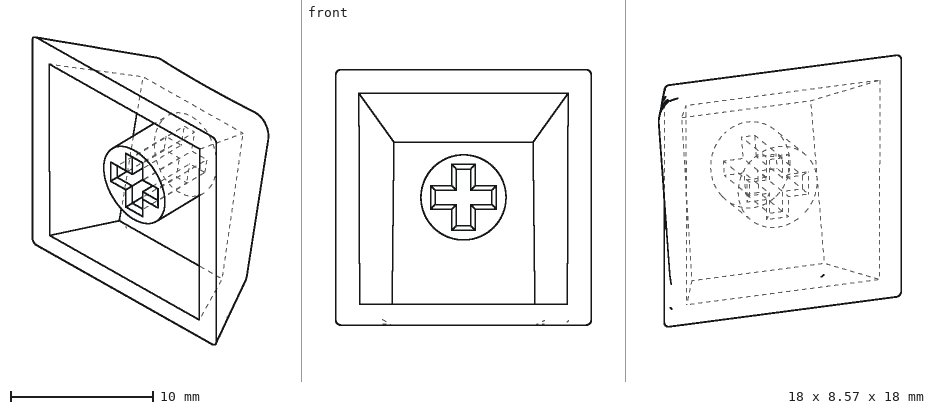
import cadquery as cq
import math

base_size = 18.0
base_corner_radius = 0.4
half_base = base_size / 2

top_height = 7.8
top_slope = 0.206
back_wall_slope = 0.5
top_width = 12.06
top_corner_radius = 1.62
dish_depth = 0.49
top_edge_radius = 0.25

opening_top_z = 7.33
cavity_bottom_z = -7.5
opening_top_width = 14.72
opening_bottom_width = 14.62
floor_top_z = 3.89
floor_top_width = 9.8
floor_bottom_width = 10.05
floor_top_depth = 6.93
floor_bottom_depth = 4.68

stem_diameter = 6.0
stem_face_y = 1.0
cross_length = 4.0
cross_width = 1.0
cross_chamfer = 0.32

top_low_z = -half_base
top_high_z = (half_base - back_wall_slope * top_height) / (1 + back_wall_slope * top_slope)
top_length = (top_high_z - top_low_z) * math.hypot(1, top_slope)
top_mid_z = (top_high_z + top_low_z) / 2
top_mid_y = top_height + top_slope * top_mid_z

top_plane = cq.Plane(
    origin=(0, top_mid_y, top_mid_z),
    xDir=(1, 0, 0),
    normal=(0, -1, top_slope),
)


def rounded_wire(plane, width, length, radius):
    """Closed rounded rectangle centred on a plane."""
    outline = cq.Sketch().rect(width, length).vertices().fillet(radius).reset()
    return outline.faces().vals()[0].outerWire().moved(plane.location)


def quad_wire(low_y, low_z, low_width, high_y, high_z, high_width):
    """Symmetric four-sided outline between a low and a high edge along X."""
    return cq.Wire.makePolygon(
        [
            cq.Vector(-low_width / 2, low_y, low_z),
            cq.Vector(low_width / 2, low_y, low_z),
            cq.Vector(high_width / 2, high_y, high_z),
            cq.Vector(-high_width / 2, high_y, high_z),
        ],
        close=True,
    )


def make_shell():
    """Tapered body with its top scooped by a cylinder running up the face."""
    base = rounded_wire(cq.Plane.named("XZ"), base_size, base_size, base_corner_radius)
    top = rounded_wire(top_plane, top_width, top_length, top_corner_radius)
    body = cq.Workplane(cq.Solid.makeLoft([base, top], True))
    half_width = top_width / 2
    dish_radius = (half_width**2 + dish_depth**2) / (2 * dish_depth)
    axis_offset = dish_radius - dish_depth
    dish_plane = cq.Plane(
        origin=top_plane.toWorldCoords((0, 0, -axis_offset)),
        xDir=(1, 0, 0),
        normal=top_plane.yDir,
    )
    dish = cq.Workplane(dish_plane).circle(dish_radius).extrude(base_size, both=True)
    return body.cut(dish)


def soften_top(body):
    """Round the rim of the dished face."""
    dish_centre = (0, top_mid_y - dish_depth, top_mid_z)
    dished_face = body.faces(cq.selectors.NearestToPointSelector(dish_centre))
    return dished_face.edges().fillet(top_edge_radius)


def make_cavity():
    """Tapered hollow from the rim opening to the sloping floor."""
    opening = quad_wire(
        0, cavity_bottom_z, opening_bottom_width, 0, opening_top_z, opening_top_width
    )
    floor = quad_wire(
        floor_bottom_depth, cavity_bottom_z, floor_bottom_width,
        floor_top_depth, floor_top_z, floor_top_width,
    )
    return cq.Workplane(cq.Solid.makeLoft([opening, floor], True))


def cross(length, width, y):
    """Plus-shaped outline facing -Y at the given height."""
    tip = length / 2
    side = width / 2
    points = [
        (tip, -side), (tip, side), (side, side), (side, tip),
        (-side, tip), (-side, side), (-tip, side), (-tip, -side),
        (-side, -side), (-side, -tip), (side, -tip), (side, -side),
    ]
    return cq.Workplane("XZ", origin=(0, y, 0)).polyline(points).close()


def make_stem():
    """Stem running from its face to beyond the cavity floor, socket cut through."""
    length = floor_top_depth - stem_face_y
    face = cq.Workplane("XZ", origin=(0, stem_face_y, 0))
    stem = face.circle(stem_diameter / 2).extrude(-length)
    socket = cross(cross_length, cross_width, stem_face_y).extrude(-length)
    mouth_wire = cross(
        cross_length + 2 * cross_chamfer, cross_width + 2 * cross_chamfer, stem_face_y
    ).val()
    throat_wire = cross(cross_length, cross_width, stem_face_y + cross_chamfer).val()
    mouth = cq.Workplane(cq.Solid.makeLoft([mouth_wire, throat_wire], True))
    return stem.cut(socket).cut(mouth)


cavity = make_cavity()
stem = make_stem().intersect(cavity)
result = soften_top(make_shell()).cut(cavity.cut(stem))